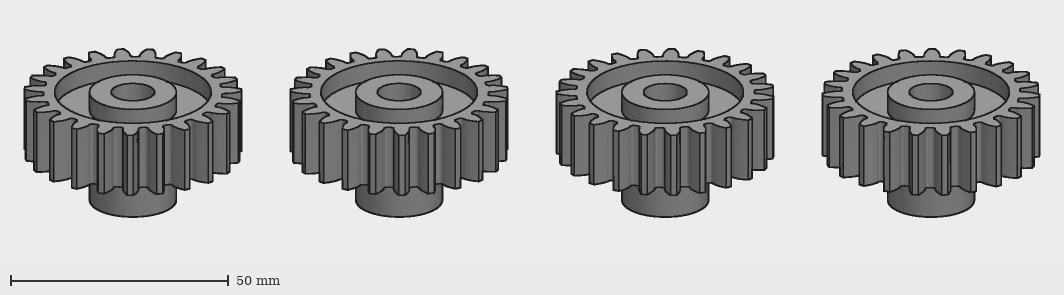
import cadquery as cq
import math

tooth_count = 23
pressure_angle = math.radians(20)
gear_width = 49.95
face_width = 15.0
hub_length = 12.0
hub_diameter = 20.0
bore_diameter = 10.0
recess_diameter = 35.95
recess_depth = 4.5
root_fillet = 0.75
flank_points = 7

addendum_factor = 1.0
dedendum_factor = 1.25


def involute(angle):
    """Involute function: polar angle swept by the curve at a pressure angle."""
    return math.tan(angle) - angle


pitch_angle = 2 * math.pi / tooth_count
base_ratio = math.cos(pressure_angle)
tip_ratio = 1 + 2 * addendum_factor / tooth_count
base_half_angle = pitch_angle / 4 + involute(pressure_angle)
tip_pressure_angle = math.acos(base_ratio / tip_ratio)
tip_half_angle = base_half_angle - involute(tip_pressure_angle)

first_tooth_angle = -math.pi / 2
tip_corner_angle = pitch_angle / 4 - tip_half_angle
tip_radius = gear_width / 2 / math.cos(tip_corner_angle)
pitch_radius = tip_radius / tip_ratio
base_radius = pitch_radius * base_ratio
module = 2 * pitch_radius / tooth_count
root_radius = pitch_radius - dedendum_factor * module


def polar(radius, angle):
    return (radius * math.cos(angle), radius * math.sin(angle))


def flank(center_angle, side):
    """Involute points from the base circle to the tip; side is -1 or +1."""
    points = []
    for i in range(flank_points):
        roll_angle = math.tan(tip_pressure_angle) * i / (flank_points - 1)
        radius = base_radius * math.hypot(1, roll_angle)
        swept = involute(math.atan(roll_angle))
        points.append(polar(radius, center_angle + side * (base_half_angle - swept)))
    return points


def tooth_rim():
    """Toothed disc: involute flanks, radial feet and filleted root corners."""
    first_root = polar(root_radius, first_tooth_angle - base_half_angle)
    outline = cq.Workplane("XY").moveTo(*first_root)
    for i in range(tooth_count):
        center = first_tooth_angle + i * pitch_angle
        rising = flank(center, -1)
        falling = flank(center, 1)[::-1]
        next_root = polar(root_radius, center + pitch_angle - base_half_angle)
        outline = (
            outline.lineTo(*rising[0])
            .spline(rising[1:], includeCurrent=True)
            .threePointArc(polar(tip_radius, center), falling[0])
            .spline(falling[1:], includeCurrent=True)
            .lineTo(*polar(root_radius, center + base_half_angle))
            .threePointArc(polar(root_radius, center + pitch_angle / 2), next_root)
        )
    rim = outline.close().extrude(face_width)

    root_corners = [
        edge
        for edge in rim.edges("|Z").vals()
        if math.hypot(edge.Center().x, edge.Center().y) < root_radius + root_fillet / 2
    ]
    return rim.newObject(root_corners).fillet(root_fillet)


def cylinder(diameter, bottom, top):
    return cq.Workplane("XY").workplane(offset=bottom).circle(diameter / 2).extrude(top - bottom)


recess = cylinder(recess_diameter, face_width - recess_depth, face_width)
hub = cylinder(hub_diameter, -hub_length, face_width)
bore = cylinder(bore_diameter, -hub_length, face_width)

result = tooth_rim().cut(recess).union(hub).cut(bore)